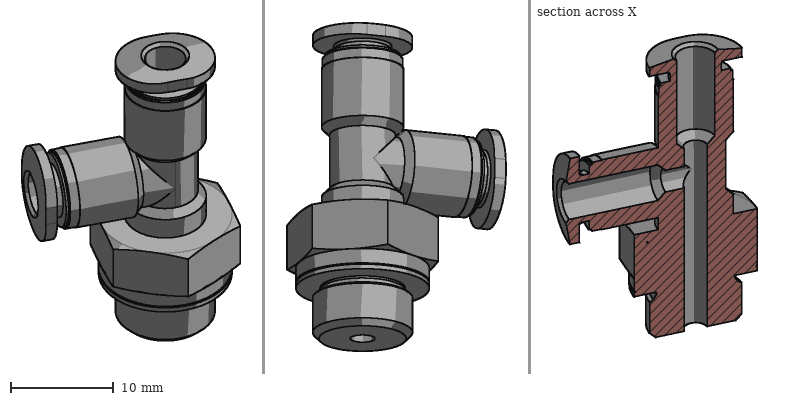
import cadquery as cq
import math

total_height = 31.2
port_reach = 13.7
branch_z = total_height - port_reach

thread_radius = 9.75 / 2
thread_chamfer = 0.62
thread_top_z = 4.15
relief_cone_radius = 4.5
relief_cone_z = 4.4
relief_radius = 8.3 / 2
relief_z = 4.9
flange_radius = 13.0 / 2
flange_bottom_z = 5.12
groove_z = 5.62
groove_width = 0.1
groove_depth = 0.1

hex_corners = 15.0
hex_flats = hex_corners * math.cos(math.radians(30))
hex_bottom_z = 7.18
hex_top_z = 12.2
hex_chamfer_angle = 15.0

body_radius = 8.0 / 2
neck_radius = 3.2
shoulder_height = body_radius - neck_radius
lower_shoulder_z = 14.38

body_end = 9.92
collar_radius = 3.93
collar_end = 11.0
collar_edge_chamfer = 0.12
rim_radius = 7.4 / 2
rim_end = 11.25
sleeve_radius = 5.4 / 2
flare_start = 11.95
flare_radius = 2.85
button_start = 12.23
button_length = 9.8
button_width = 7.85
crown_drop = 0.45
mouth_radius = 2.35
tube_radius = 4.0 / 2
mouth_chamfer = mouth_radius - tube_radius
tube_stop = body_radius
passage_radius = 2.4 / 2


def revolve(profile):
    """Revolve a closed (radius, height) profile around Z."""
    return cq.Workplane("XZ").polyline(profile).close().revolve(360, (0, 0), (0, 1))


def make_port_solid():
    """Outside of a port along +Z, starting at the junction of the axes."""
    barrel = revolve([
        (0, 0),
        (neck_radius, 0),
        (neck_radius, neck_radius),
        (body_radius, neck_radius + shoulder_height),
        (body_radius, body_end),
        (collar_radius, body_end),
        (collar_radius, collar_end - collar_edge_chamfer),
        (collar_radius - collar_edge_chamfer, collar_end),
        (rim_radius, collar_end),
        (rim_radius, rim_end),
        (sleeve_radius, rim_end),
        (sleeve_radius, flare_start),
        (flare_radius, button_start),
        (0, button_start),
    ])
    button = (
        cq.Workplane("XY")
        .workplane(offset=button_start)
        .slot2D(button_length, button_width, 90)
        .extrude(port_reach - button_start)
    )
    crown = revolve([
        (0, button_start),
        (button_length / 2, button_start),
        (button_length / 2, port_reach - crown_drop),
        (mouth_radius, port_reach),
        (0, port_reach),
    ])
    return barrel.union(button.intersect(crown))


def make_port_bore():
    """Tube socket with a flared mouth and a conical stop, then the narrow passage."""
    return revolve([
        (0, 0),
        (passage_radius, 0),
        (passage_radius, tube_stop - (tube_radius - passage_radius)),
        (tube_radius, tube_stop),
        (tube_radius, port_reach - mouth_chamfer),
        (mouth_radius, port_reach),
        (0, port_reach),
    ])


def place_up(shape):
    return shape.translate((0, 0, branch_z))


def place_side(shape):
    return place_up(shape.rotate((0, 0, 0), (1, 0, 0), 90))


def make_stem():
    """Threaded spigot, sealing flange and lower body up to the junction."""
    return revolve([
        (0, 0),
        (thread_radius - thread_chamfer, 0),
        (thread_radius, thread_chamfer),
        (thread_radius, thread_top_z),
        (relief_cone_radius, relief_cone_z),
        (relief_radius, relief_z),
        (relief_radius, flange_bottom_z),
        (flange_radius, flange_bottom_z),
        (flange_radius, groove_z),
        (flange_radius - groove_depth, groove_z),
        (flange_radius - groove_depth, groove_z + groove_width),
        (flange_radius, groove_z + groove_width),
        (flange_radius, hex_bottom_z),
        (body_radius, hex_bottom_z),
        (body_radius, lower_shoulder_z),
        (neck_radius, lower_shoulder_z + shoulder_height),
        (neck_radius, branch_z),
        (0, branch_z),
    ])


def make_hexagon():
    """Hexagon with corners on the X axis, its corners chamfered on both ends."""
    corner_radius = hex_corners / 2
    face_radius = hex_flats / 2
    drop = (corner_radius - face_radius) * math.tan(math.radians(hex_chamfer_angle))
    prism = (
        cq.Workplane("XY")
        .workplane(offset=hex_bottom_z)
        .polygon(6, hex_corners)
        .extrude(hex_top_z - hex_bottom_z)
    )
    envelope = revolve([
        (0, hex_bottom_z),
        (face_radius, hex_bottom_z),
        (corner_radius, hex_bottom_z + drop),
        (corner_radius, hex_top_z - drop),
        (face_radius, hex_top_z),
        (0, hex_top_z),
    ])
    return prism.intersect(envelope)


port = make_port_solid()
bore = make_port_bore()
lower_passage = cq.Workplane("XY").circle(passage_radius).extrude(branch_z)

upright = make_stem().union(make_hexagon()).union(place_up(port))
body = place_side(port).union(upright)
cavity = place_side(bore).union(place_up(bore).union(lower_passage))
result = body.cut(cavity)